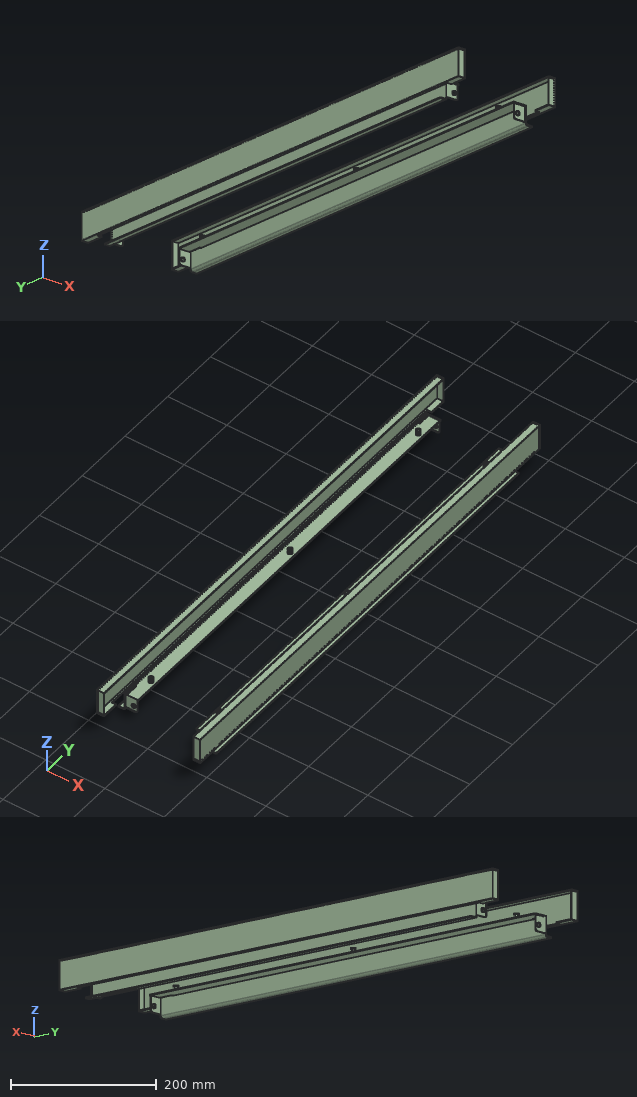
import cadquery as cq


LENGTH = 795.0
WIDTH = 175.0
HEIGHT = 60.5
SHEET = 1.5

TRAY_DEPTH = 12.0
TRAY_HEIGHT = 43.0
TRAY_BOTTOM = HEIGHT - TRAY_HEIGHT
TRAY_OUTER_X = -WIDTH / 2
LIP_END_LENGTH = 29.0
LIP_STUB_WIDTH = 5.0

BRACKET_LENGTH = 707.5
WEB_X = -72.0
FLANGE_TIP_X = -49.0
FOOT_TIP_X = -83.0
FLANGE_TOP = 29.5
FOOT_BEND_RADIUS = 4.0
TAB_INNER_X = -51.0
TAB_BOTTOM = 5.0
TAB_CORNER_RADIUS = 3.0
TAB_HOLE_DIAMETER = 6.0
TAB_HOLE_Z = 14.0
RELIEF_LENGTH = 22.0
RELIEF_WIDTH = 2.0
WEB_INNER_X = WEB_X + SHEET
FLANGE_UNDERSIDE = FLANGE_TOP - SHEET
BRACKET_END_Y = BRACKET_LENGTH / 2

STUD_X = -57.0
STUD_END_Y = 312.5
STUD_MIDDLE_Y = 13.0
STUD_PLACES_Y = (-STUD_END_Y, STUD_MIDDLE_Y, STUD_END_Y)
STUD_HEAD_DIAMETER = 7.0
STUD_NECK_DIAMETER = 4.0
STUD_HEIGHT = 7.0
STUD_BASE_HEIGHT = 1.5
STUD_HEAD_HEIGHT = 1.0


def box_between(x_range, y_range, z_range):
    """Axis-aligned box from the two ends of its range along each axis."""
    sizes = [high - low for low, high in (x_range, y_range, z_range)]
    corner = (x_range[0], y_range[0], z_range[0])
    return cq.Workplane("XY").box(*sizes, centered=False).translate(corner)


def make_tray():
    inner_x = TRAY_OUTER_X + TRAY_DEPTH
    end_y = LENGTH / 2
    blank = box_between((TRAY_OUTER_X, inner_x), (-end_y, end_y), (TRAY_BOTTOM, HEIGHT))
    hollow = box_between(
        (TRAY_OUTER_X + SHEET, inner_x),
        (-end_y + SHEET, end_y - SHEET),
        (TRAY_BOTTOM + SHEET, HEIGHT - SHEET),
    )
    lip_gap_end = end_y - LIP_END_LENGTH
    lip_gap = box_between(
        (TRAY_OUTER_X + LIP_STUB_WIDTH, inner_x),
        (-lip_gap_end, lip_gap_end),
        (TRAY_BOTTOM, TRAY_BOTTOM + SHEET),
    )
    return blank.cut(hollow).cut(lip_gap)


def make_folded_strip():
    """Foot, web and flange as one Z-shaped extrusion along Y."""
    inner_bend_radius = FOOT_BEND_RADIUS - SHEET
    return (
        cq.Workplane("XZ", origin=(0, BRACKET_END_Y, 0))
        .moveTo(FOOT_TIP_X, 0)
        .lineTo(WEB_INNER_X - FOOT_BEND_RADIUS, 0)
        .radiusArc((WEB_INNER_X, FOOT_BEND_RADIUS), -FOOT_BEND_RADIUS)
        .lineTo(WEB_INNER_X, FLANGE_UNDERSIDE)
        .lineTo(FLANGE_TIP_X, FLANGE_UNDERSIDE)
        .lineTo(FLANGE_TIP_X, FLANGE_TOP)
        .lineTo(WEB_X, FLANGE_TOP)
        .lineTo(WEB_X, FOOT_BEND_RADIUS)
        .radiusArc((WEB_X - inner_bend_radius, SHEET), inner_bend_radius)
        .lineTo(FOOT_TIP_X, SHEET)
        .close()
        .extrude(BRACKET_LENGTH)
    )


def make_end_tab():
    """Tab at the +Y end of the bracket, with a rounded lower corner and a hole."""
    inside_y = BRACKET_END_Y - SHEET
    tab = box_between((WEB_X, TAB_INNER_X), (inside_y, BRACKET_END_Y), (TAB_BOTTOM, FLANGE_TOP))
    tab = tab.edges("|Y and >X and <Z").fillet(TAB_CORNER_RADIUS)
    hole = (
        cq.Workplane("XZ", origin=(STUD_X, BRACKET_END_Y, TAB_HOLE_Z))
        .circle(TAB_HOLE_DIAMETER / 2)
        .extrude(SHEET)
    )
    return tab.cut(hole)


def make_relief():
    """Slit between web and flange at the +Y end of the bracket."""
    return box_between(
        (WEB_INNER_X, WEB_INNER_X + RELIEF_WIDTH),
        (BRACKET_END_Y - RELIEF_LENGTH, BRACKET_END_Y - SHEET),
        (FLANGE_UNDERSIDE, FLANGE_TOP),
    )


def make_bracket():
    bracket = make_folded_strip()
    tab = make_end_tab()
    relief = make_relief()
    for add_tab, cut_relief in ((tab, relief), (tab.mirror("XZ"), relief.mirror("XZ"))):
        bracket = bracket.union(add_tab).cut(cut_relief)
    return bracket


def make_stud(y):
    neck_height = STUD_HEIGHT - STUD_BASE_HEIGHT - STUD_HEAD_HEIGHT
    return (
        cq.Workplane("XY", origin=(STUD_X, y, FLANGE_TOP))
        .circle(STUD_HEAD_DIAMETER / 2)
        .extrude(STUD_BASE_HEIGHT)
        .faces(">Z")
        .workplane()
        .circle(STUD_NECK_DIAMETER / 2)
        .extrude(neck_height)
        .faces(">Z")
        .workplane()
        .circle(STUD_HEAD_DIAMETER / 2)
        .extrude(STUD_HEAD_HEIGHT)
    )


bodies = []
for turn in (0, 180):
    rail = [make_tray(), make_bracket()] + [make_stud(y) for y in STUD_PLACES_Y]
    bodies += [body.rotate((0, 0, 0), (0, 0, 1), turn).val() for body in rail]

result = cq.Compound.makeCompound(bodies)